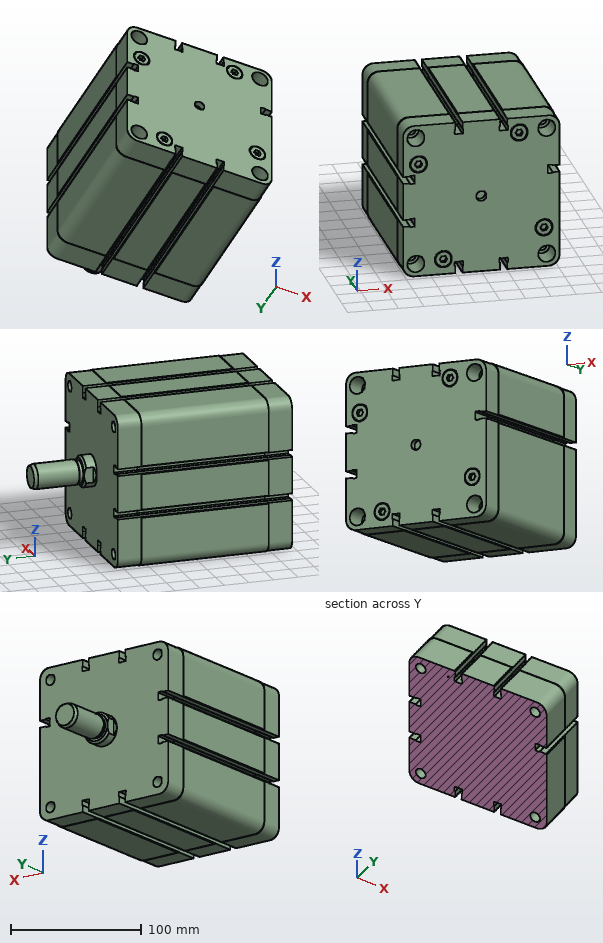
import cadquery as cq
import math


TOTAL_LENGTH = 191.5
BODY_LENGTH = 141.7
CAP_LENGTH = 19.2
BARREL_LENGTH = BODY_LENGTH - 2 * CAP_LENGTH

BARREL_SIDE = 124.0
BARREL_CORNER_RADIUS = 9.2
CAP_INSET = 0.4

SLOT_OFFSET = 17.6
SLOT_NECK_WIDTH = 5.5
SLOT_FOOT_WIDTH = 6.7
SLOT_FOOT_HEIGHT = 4.0
CAP_SLOT_DEPTH = 9.8
BARREL_SLOT_DEPTH = 10.1
SLOT_FOOT_FILLET = 1.0
SLOT_LIP_CHAMFER = 0.5

MOUNT_HOLE_OFFSET = 51.5
MOUNT_HOLE_DIAMETER = 8.5
MOUNT_BORE_DIAMETER = 13.5
MOUNT_BORE_DEPTH = CAP_LENGTH

CENTRE_HOLE_DIAMETER = 8.0
CENTRE_HOLE_DEPTH = 5.0

SCREW_NEAR_OFFSET = 29.9
SCREW_FAR_OFFSET = 49.5
SCREW_BORE_DIAMETER = 13.5
SCREW_HEAD_DIAMETER = 12.5
SCREW_GAP_DEPTH = 2.0
SOCKET_ACROSS_FLATS = 5.0
SOCKET_DEPTH = 2.9

ROD_DIAMETER = 25.0
ROD_LENGTH = 10.0
ROD_CHAMFER = 1.7
FLATS_WIDTH = 21.8
FLATS_LENGTH = 7.7
NECK_DIAMETER = 17.5
NECK_LENGTH = 2.9
THREAD_DIAMETER = 20.0
THREAD_TIP_CHAMFER_LENGTH = 3.0
THREAD_END_CHAMFER = 0.5

HALF_SIDE = BARREL_SIDE / 2
ROD_END = BODY_LENGTH + ROD_LENGTH


def rear_plane(y):
    """Plane at position y whose local axes are X and Z and whose normal is -Y."""
    return cq.Workplane("XZ", origin=(0, y, 0))


def square_block(side, corner_radius, start, length):
    block = rear_plane(start).rect(side, side).extrude(-length)
    return block.edges("|Y").fillet(corner_radius)


def rear_pocket(points, diameter, depth):
    return rear_plane(0).pushPoints(points).circle(diameter / 2).extrude(-depth)


def slot_profile(side, start, length, depth):
    """Slot in the +Z face of a block, at +SLOT_OFFSET from the middle."""
    floor = HALF_SIDE - depth
    neck_height = side / 2 - floor
    foot = (
        rear_plane(start)
        .center(SLOT_OFFSET, floor + SLOT_FOOT_HEIGHT / 2)
        .rect(SLOT_FOOT_WIDTH, SLOT_FOOT_HEIGHT)
        .extrude(-length)
        .edges("|Y")
        .fillet(SLOT_FOOT_FILLET)
    )
    neck = (
        rear_plane(start)
        .center(SLOT_OFFSET, floor + neck_height / 2)
        .rect(SLOT_NECK_WIDTH, neck_height)
        .extrude(-length)
    )
    return neck.union(foot)


def lip_chamfers(start, length):
    """Bevels along both edges of a slot where it opens onto the barrel."""
    half_width = SLOT_NECK_WIDTH / 2
    return (
        rear_plane(start)
        .center(SLOT_OFFSET, HALF_SIDE)
        .moveTo(-half_width - SLOT_LIP_CHAMFER, 0)
        .lineTo(half_width + SLOT_LIP_CHAMFER, 0)
        .lineTo(half_width, -SLOT_LIP_CHAMFER)
        .lineTo(-half_width, -SLOT_LIP_CHAMFER)
        .close()
        .extrude(-length)
    )


def cut_slots(block, right_slot):
    left_slot = right_slot.mirror("YZ")
    origin, y_axis = (0, 0, 0), (0, 1, 0)
    for angle in (0, 180, 270):
        block = block.cut(right_slot.rotate(origin, y_axis, angle))
        block = block.cut(left_slot.rotate(origin, y_axis, angle))
    return block.cut(left_slot.rotate(origin, y_axis, 90))


def make_cap(start):
    side = BARREL_SIDE - 2 * CAP_INSET
    cap = square_block(side, BARREL_CORNER_RADIUS - CAP_INSET, start, CAP_LENGTH)
    return cut_slots(cap, slot_profile(side, start, CAP_LENGTH, CAP_SLOT_DEPTH))


def make_barrel():
    barrel = square_block(BARREL_SIDE, BARREL_CORNER_RADIUS, CAP_LENGTH, BARREL_LENGTH)
    slot = slot_profile(BARREL_SIDE, CAP_LENGTH, BARREL_LENGTH, BARREL_SLOT_DEPTH)
    return cut_slots(barrel, slot.union(lip_chamfers(CAP_LENGTH, BARREL_LENGTH)))


def cut_mount_holes(body):
    corners = [(x * MOUNT_HOLE_OFFSET, z * MOUNT_HOLE_OFFSET) for x in (-1, 1) for z in (-1, 1)]
    body = body.cut(rear_pocket(corners, MOUNT_HOLE_DIAMETER, BODY_LENGTH))
    return body.cut(rear_pocket(corners, MOUNT_BORE_DIAMETER, MOUNT_BORE_DEPTH))


def cut_screws(body):
    near, far = SCREW_NEAR_OFFSET, SCREW_FAR_OFFSET
    centres = [(near, far), (-far, near), (-near, -far), (far, -near)]
    gap = rear_pocket(centres, SCREW_BORE_DIAMETER, SCREW_GAP_DEPTH)
    gap = gap.cut(rear_pocket(centres, SCREW_HEAD_DIAMETER, SCREW_GAP_DEPTH))
    across_corners = SOCKET_ACROSS_FLATS / math.cos(math.pi / 6)
    sockets = rear_plane(0).pushPoints(centres).polygon(6, across_corners).extrude(-SOCKET_DEPTH)
    return body.cut(gap).cut(sockets)


def make_rod():
    rod_radius = ROD_DIAMETER / 2
    neck_radius = NECK_DIAMETER / 2
    thread_radius = THREAD_DIAMETER / 2
    thread_start = ROD_END + NECK_LENGTH
    rod = (
        cq.Workplane("XY")
        .moveTo(0, BODY_LENGTH)
        .lineTo(rod_radius, BODY_LENGTH)
        .lineTo(rod_radius, ROD_END - ROD_CHAMFER)
        .lineTo(rod_radius - ROD_CHAMFER, ROD_END)
        .lineTo(neck_radius, ROD_END)
        .lineTo(neck_radius, thread_start)
        .lineTo(thread_radius - THREAD_END_CHAMFER, thread_start)
        .lineTo(thread_radius, thread_start + THREAD_END_CHAMFER)
        .lineTo(thread_radius, TOTAL_LENGTH - THREAD_TIP_CHAMFER_LENGTH)
        .lineTo(neck_radius, TOTAL_LENGTH)
        .lineTo(0, TOTAL_LENGTH)
        .close()
        .revolve(360, (0, 0, 0), (0, 1, 0))
    )
    flat_x = FLATS_WIDTH / 2
    flat_start = ROD_END - FLATS_LENGTH
    runout = rod_radius - flat_x
    flat = (
        cq.Workplane("XY")
        .workplane(offset=-rod_radius)
        .moveTo(flat_x, ROD_END)
        .lineTo(flat_x, flat_start)
        .lineTo(rod_radius, flat_start - runout)
        .lineTo(rod_radius, ROD_END)
        .close()
        .extrude(ROD_DIAMETER)
    )
    return rod.cut(flat).cut(flat.mirror("YZ"))


body = make_barrel()
for cap_start in (0, BODY_LENGTH - CAP_LENGTH):
    body = body.union(make_cap(cap_start))
body = cut_mount_holes(body)
body = cut_screws(body)
body = body.cut(rear_pocket([(0, 0)], CENTRE_HOLE_DIAMETER, CENTRE_HOLE_DEPTH))

result = body.union(make_rod())